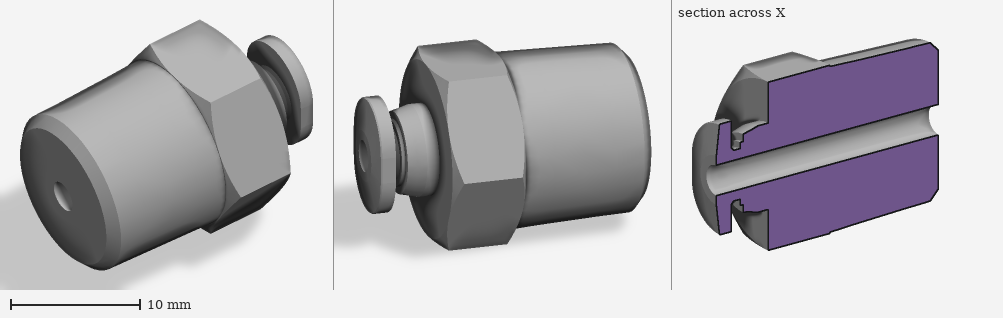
import cadquery as cq
import math

LENGTH = 21.5
THREAD_CHAMFER_Y = 0.8
HEX_START_Y = 10.5
HEX_END_Y = 16.47
COLLAR_CONE_Y = 17.45
COLLAR_END_Y = 18.92
STEP_END_Y = 19.2
NECK_END_Y = 19.78
BUTTON_START_Y = 20.0

THREAD_TIP_RADIUS = 6.6
THREAD_FACE_RADIUS = 5.76
PIPE_TAPER = 1 / 32
THREAD_ROOT_RADIUS = THREAD_TIP_RADIUS + (HEX_START_Y - THREAD_CHAMFER_Y) * PIPE_TAPER

HEX_ACROSS_FLATS = 14.0
HEX_ACROSS_CORNERS = HEX_ACROSS_FLATS / math.cos(math.pi / 6)
HEX_CHAMFER_ANGLE = math.radians(30)

COLLAR_RADIUS = 3.61
COLLAR_END_RADIUS = 3.25
STEP_RADIUS = 2.65
NECK_RADIUS = 2.13
NECK_FLARE_RADIUS = 2.35
BUTTON_WIDTH = 7.18
BUTTON_HEIGHT = 9.22
BUTTON_TOP_RADIUS = 2.02
CROWN_HEIGHT = 0.3
RIM_BEVEL_HEIGHT = 0.1
RIM_BEVEL_WIDTH = 0.06

BORE_DIAMETER = 2.5


def across_axis(y):
    """Workplane normal to the fitting axis, facing +Y, with its local X along Z."""
    return cq.Workplane(cq.Plane(origin=(0, y, 0), xDir=(0, 0, 1), normal=(0, 1, 0)))


def revolve_profile(points):
    """Revolve (radius, y) points about the fitting axis."""
    return cq.Workplane("XY").polyline(points).close().revolve(360, (0, 0, 0), (0, 1, 0))


def make_thread_body():
    return revolve_profile([
        (0, 0),
        (THREAD_FACE_RADIUS, 0),
        (THREAD_TIP_RADIUS, THREAD_CHAMFER_Y),
        (THREAD_ROOT_RADIUS, HEX_START_Y),
        (0, HEX_START_Y),
    ])


def make_hexagon():
    prism = across_axis(HEX_START_Y).polygon(6, HEX_ACROSS_CORNERS).extrude(HEX_END_Y - HEX_START_Y)
    prism = prism.rotate((0, 0, 0), (0, 1, 0), 30)
    face_radius = HEX_ACROSS_FLATS / 2
    corner_radius = HEX_ACROSS_CORNERS / 2
    chamfer_height = (corner_radius - face_radius) * math.tan(HEX_CHAMFER_ANGLE)
    chamfer_envelope = revolve_profile([
        (0, HEX_START_Y),
        (face_radius, HEX_START_Y),
        (corner_radius, HEX_START_Y + chamfer_height),
        (corner_radius, HEX_END_Y - chamfer_height),
        (face_radius, HEX_END_Y),
        (0, HEX_END_Y),
    ])
    return prism.intersect(chamfer_envelope)


def make_collar():
    return revolve_profile([
        (0, HEX_END_Y),
        (COLLAR_RADIUS, HEX_END_Y),
        (COLLAR_RADIUS, COLLAR_CONE_Y),
        (COLLAR_END_RADIUS, COLLAR_END_Y),
        (STEP_RADIUS, COLLAR_END_Y),
        (STEP_RADIUS, STEP_END_Y),
        (NECK_RADIUS, STEP_END_Y),
        (NECK_RADIUS, NECK_END_Y),
        (NECK_FLARE_RADIUS, BUTTON_START_Y),
        (0, BUTTON_START_Y),
    ])


def make_button():
    """Oval push button whose low crown blends from the oval rim to a round flat top."""
    crown_base_y = LENGTH - CROWN_HEIGHT
    rim_y = crown_base_y - RIM_BEVEL_HEIGHT
    rim = across_axis(BUTTON_START_Y).slot2D(BUTTON_HEIGHT, BUTTON_WIDTH).extrude(rim_y - BUTTON_START_Y)
    inset = 2 * RIM_BEVEL_WIDTH
    bevel = (
        across_axis(rim_y)
        .slot2D(BUTTON_HEIGHT, BUTTON_WIDTH)
        .workplane(offset=RIM_BEVEL_HEIGHT)
        .slot2D(BUTTON_HEIGHT - inset, BUTTON_WIDTH - inset)
        .loft(ruled=True)
    )
    crown = (
        across_axis(crown_base_y)
        .slot2D(BUTTON_HEIGHT - inset, BUTTON_WIDTH - inset)
        .workplane(offset=CROWN_HEIGHT)
        .circle(BUTTON_TOP_RADIUS)
        .loft(ruled=True)
    )
    return rim.union(bevel).union(crown)


bore = across_axis(0).circle(BORE_DIAMETER / 2).extrude(LENGTH)

result = (
    make_thread_body()
    .union(make_hexagon())
    .union(make_collar())
    .union(make_button())
    .cut(bore)
)